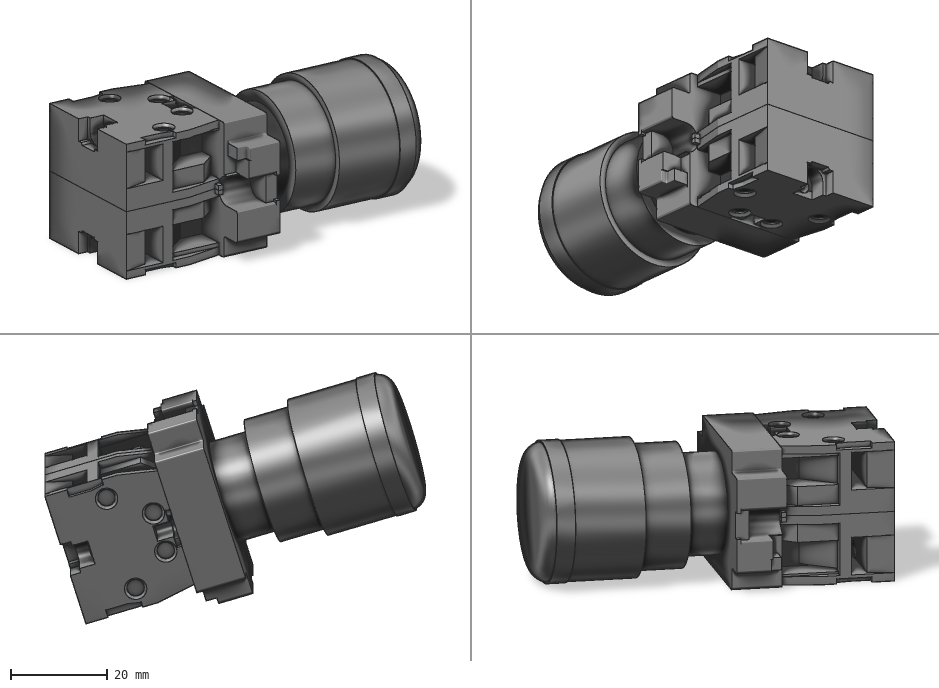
import cadquery as cq
import math


collar_depth = 10.65
neck_radius, neck_end = 10.8, 19.0
sleeve_radius, sleeve_end = 13.3, 28.9
barrel_radius, barrel_end = 14.8, 43.9
cap_radius, cap_end = 15.0, 47.85
dome_base_radius, dome_arc_radius = 14.6, 3.75
head_end = 50.9

collar_size = 30.0
collar_half = collar_size / 2
ear_span = 40.0
ear_half_span = ear_span / 2
ear_half_height = 10.3
collar_fillet = 0.5
notch_height = 6.5
notch_half = notch_height / 2
notch_floor_x = 18.8
channel_center_x = 16.1
channel_end_y = 7.9
lip_gap = 5.6
lip_half = lip_gap / 2
lip_start_y = 9.75
ear_setback = 2.9
channel_edge = 0.15
latch_x, latch_z = 18.6, 7.5
latch_setback, latch_relief_y = 0.9, 3.2
latch_fillet = 0.15

block_depth = 24.1
block_height = collar_half
block_half_width = 14.55
block_rear_half_width = 13.0
taper_depth = 8.3
tab_depth, tab_height = 1.05, 1.05

cavity_depth = 12.45
cavity_bottom_z, cavity_step_z, wedge_top_z = 1.95, 6.0, 12.3
plate_z = 13.2
deep_wall_x, wedge_outer_x, wedge_start = 6.6, 11.9, 5.4
step_x, step_slant_depth, step_slant_length = 13.0, 3.0, 3.7
left_lip_z, right_lip_z = wedge_top_z, 12.75

slot_bottom_z = 5.1
slot_rear, slot_front = 14.9, 18.45
slant_x = 13.1

relief_z = 13.9
relief_start, relief_ramp_start, relief_ramp_end, relief_end = 11.7, 12.1, 14.4, 19.3
relief_shallow_x, relief_deep_x = 13.35, 12.9

access_half_width, access_depth, access_floor_z = 3.5, 2.25, 10.05
access_radius = 2.6
access_axis_z = 12.15
groove_half_bottom, groove_half_top = 2.2, 2.55
disc_radius, disc_axis_z, disc_thickness = 1.5, 12.7, 0.45

recess_half_width, recess_depth, recess_floor_z = 4.2, 1.05, 13.9
rear_groove_radius, rear_groove_end = 1.7, 4.5

hole_radius, hole_rim_radius = 1.8, 2.3
rim_depth, hole_depth = 0.7, 1.05
hole_spots = ((4.35, 3.5), (10.3, 11.9))

margin = 0.75


def box(x_range, y_range, z_range):
    """Box between two corners, each range given in either order."""
    (x0, x1), (y0, y1), (z0, z1) = sorted(x_range), sorted(y_range), sorted(z_range)
    return cq.Workplane("XY").box(x1 - x0, y1 - y0, z1 - z0, centered=False).translate((x0, y0, z0))


def rod(radius, x, z, y_range):
    """Cylinder parallel to the Y axis."""
    y0, y1 = sorted(y_range)
    return cq.Workplane("XZ", origin=(x, y1, z)).circle(radius).extrude(y1 - y0)


def plan_prism(points, z_range):
    """Prism with an outline in X and Y."""
    z0, z1 = z_range
    return cq.Workplane("XY", origin=(0, 0, z0)).polyline(points).close().extrude(z1 - z0)


def half_turn(body):
    """Copy turned by 180 degrees about the button axis."""
    return body.rotate((0, 0, 0), (0, 1, 0), 180)


def make_head():
    arc_center_y = head_end - dome_arc_radius
    start_angle = math.asin((cap_end - arc_center_y) / dome_arc_radius)
    arc_center_x = dome_base_radius - dome_arc_radius * math.cos(start_angle)
    mid_angle = (start_angle + math.pi / 2) / 2
    arc_middle = (
        arc_center_x + dome_arc_radius * math.cos(mid_angle),
        arc_center_y + dome_arc_radius * math.sin(mid_angle),
    )
    profile = cq.Workplane("XY").moveTo(0, collar_depth).lineTo(neck_radius, collar_depth)
    steps = (
        (neck_radius, neck_end, sleeve_radius),
        (sleeve_radius, sleeve_end, barrel_radius),
        (barrel_radius, barrel_end, cap_radius),
        (cap_radius, cap_end, dome_base_radius),
    )
    for radius, end, next_radius in steps:
        profile = profile.lineTo(radius, end).lineTo(next_radius, end)
    profile = profile.threePointArc(arc_middle, (arc_center_x, head_end)).lineTo(0, head_end)
    return profile.close().revolve(360, (0, 0, 0), (0, 1, 0))


def ear_notch():
    """Cutter for the notch in the +X ear, with a round channel toward the contact blocks."""
    outside = ear_half_span + margin
    mouth = ear_half_span - collar_fillet
    cutter = box((notch_floor_x, outside), (-margin, collar_depth + margin), (-lip_half, lip_half))
    notch_z = (-notch_half, notch_half)
    cutter = cutter.union(box((notch_floor_x, outside), (-margin, lip_start_y), notch_z))
    cutter = cutter.union(box((channel_center_x, outside), (-margin, channel_end_y), notch_z))
    cutter = cutter.union(rod(notch_half, channel_center_x, 0, (-margin, channel_end_y)))
    flare_half = notch_half + collar_fillet
    flare = box((mouth, outside), (-margin, lip_start_y), (-flare_half, flare_half))
    for side in (-1, 1):
        flare = flare.cut(rod(collar_fillet, mouth, side * flare_half, (-margin, lip_start_y)))
    return cutter.union(flare)


def ear_step():
    """Cutter that sets back the front of the +X, +Z ear and leaves a small latch block."""
    outside = ear_half_span + margin
    top = ear_half_height + margin
    cutter = box((collar_half, outside), (-margin, ear_setback), (notch_half + channel_edge, latch_z))
    cutter = cutter.union(box((channel_center_x, outside), (-margin, ear_setback), (0, latch_z)))
    cutter = cutter.union(box((collar_half, outside), (-margin, latch_setback), (latch_z, top)))
    return cutter.union(box((latch_x, outside), (-margin, latch_relief_y), (latch_z, top)))


def make_collar():
    depth_range = (0, collar_depth)
    plate = box((-collar_half, collar_half), depth_range, (-collar_half, collar_half))
    ears = box((-ear_half_span, ear_half_span), depth_range, (-ear_half_height, ear_half_height))
    collar = plate.union(ears).edges("|Y").fillet(collar_fillet)
    side_cutter = ear_notch().union(ear_step())
    for cutter, turn in ((side_cutter, 1), (half_turn(side_cutter), -1)):
        collar = collar.cut(cutter)
        inner_corner = (
            turn * (latch_x - latch_fillet),
            latch_setback + latch_fillet,
            turn * (latch_z + latch_fillet),
        )
        outer_corner = (
            turn * (ear_half_span + margin),
            latch_relief_y + latch_fillet,
            turn * (ear_half_height + margin),
        )
        latch_region = cq.selectors.BoxSelector(inner_corner, outer_corner)
        collar = collar.edges(latch_region).fillet(latch_fillet)
    return collar


def flank_cutter(side, lip_z):
    """Everything cut from one flank of the upper block; side is -1 for -X and 1 for +X."""
    outside = block_half_width + margin

    def flank_prism(points, z_range):
        return plan_prism([(side * x, -y) for x, y in points], z_range)

    cutter = flank_prism(
        [
            (outside, 0),
            (step_x - step_slant_depth, 0),
            (step_x, step_slant_length),
            (step_x, cavity_depth),
            (outside, cavity_depth),
        ],
        (cavity_bottom_z, cavity_step_z),
    )
    cutter = cutter.union(flank_prism(
        [
            (outside, 0),
            (deep_wall_x, 0),
            (deep_wall_x, wedge_start),
            (wedge_outer_x, cavity_depth),
            (outside, cavity_depth),
        ],
        (cavity_step_z, wedge_top_z),
    ))
    cutter = cutter.union(box(
        (side * block_rear_half_width, side * outside), (-cavity_depth, 0), (wedge_top_z, plate_z)
    ))
    if lip_z > wedge_top_z:
        cutter = cutter.union(box(
            (side * deep_wall_x, side * outside), (-cavity_depth, 0), (wedge_top_z, lip_z)
        ))
    cutter = cutter.union(flank_prism(
        [
            (block_half_width, block_depth),
            (slant_x, slot_front),
            (outside, slot_front),
            (outside, block_depth),
        ],
        (slot_bottom_z, plate_z),
    ))
    return cutter.union(flank_prism(
        [
            (outside, relief_start),
            (relief_shallow_x, relief_start),
            (relief_shallow_x, relief_ramp_start),
            (relief_deep_x, relief_ramp_end),
            (relief_deep_x, relief_end),
            (outside, relief_end),
        ],
        (relief_z, block_height + margin),
    ))


def u_groove(radius, y_range):
    """Round-bottomed groove along Y, open at the top."""
    groove = rod(radius, 0, access_axis_z, y_range)
    return groove.union(box((-radius, radius), y_range, (access_axis_z, block_height + margin)))


def front_access():
    """Cutter for the screwdriver access at the front of the top."""
    front = -block_depth
    rear = front + access_depth
    cutter = box(
        (-access_half_width, access_half_width),
        (front - margin, rear),
        (access_floor_z, block_height + margin),
    )
    groove_bottom_z = access_axis_z - access_radius
    groove = (
        cq.Workplane("XZ", origin=(0, rear, 0))
        .polyline([
            (-groove_half_top, access_floor_z),
            (-groove_half_bottom, groove_bottom_z),
            (groove_half_bottom, groove_bottom_z),
            (groove_half_top, access_floor_z),
        ])
        .close()
        .extrude(access_depth + margin)
    )
    return cutter.union(groove).union(u_groove(access_radius, (rear, -slot_front)))


def rear_access():
    """Cutter for the recess and groove next to the collar."""
    cutter = box(
        (-recess_half_width, recess_half_width), (-recess_depth, 0), (recess_floor_z, block_height + margin)
    )
    cutter = cutter.union(u_groove(access_radius, (-recess_depth, 0)))
    return cutter.union(u_groove(rear_groove_radius, (-rear_groove_end, -recess_depth)))


def countersunk_hole(x, y):
    """Cutter for a blind hole with a conical rim."""
    profile = [
        (0, 0), (hole_rim_radius, 0), (hole_radius, -rim_depth), (hole_radius, -hole_depth), (0, -hole_depth)
    ]
    hole = cq.Workplane("XZ").polyline(profile).close().revolve(360, (0, 0, 0), (0, 1, 0))
    return hole.translate((x, y, block_height))


def make_upper_block():
    outline = [
        (-block_rear_half_width, 0),
        (block_rear_half_width, 0),
        (block_half_width, -taper_depth),
        (block_half_width, -block_depth),
        (-block_half_width, -block_depth),
        (-block_half_width, -taper_depth),
    ]
    block = plan_prism(outline, (0, block_height))
    block = block.cut(flank_cutter(-1, left_lip_z)).cut(flank_cutter(1, right_lip_z))
    full_width = (-block_half_width - margin, block_half_width + margin)
    block = block.cut(box(full_width, (-slot_front, -slot_rear), (slot_bottom_z, plate_z)))
    block = block.cut(front_access()).cut(rear_access())
    for side in (-1, 1):
        for x, distance in hole_spots:
            block = block.cut(countersunk_hole(side * x, -distance))
        tab = box((0, side * block_half_width), (-tab_depth, 0), (0, tab_height))
        block = block.union(tab)
    disc_range = (-slot_front - disc_thickness / 2, -slot_front + disc_thickness / 2)
    return block.union(rod(disc_radius, 0, disc_axis_z, disc_range))


head = make_head()
collar = make_collar()
upper_block = make_upper_block()
lower_block = half_turn(upper_block)

result = cq.Compound.makeCompound([head.val(), collar.val(), upper_block.val(), lower_block.val()])